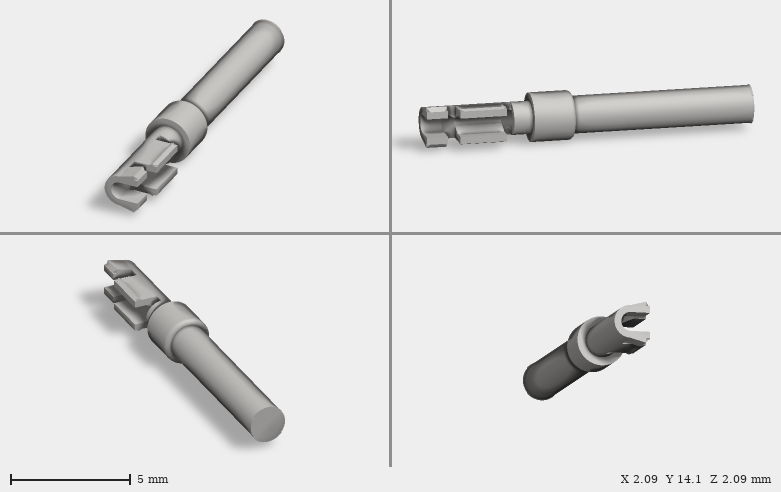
import cadquery as cq
import math

total_length = 14.1
front_tab_end = 0.9
rear_tab_start = 1.4
rear_tab_end = 3.4
slot_end = 3.79
collar_start = 4.6
collar_end = 6.4
hood_start = 8.6

barrel_radius = 1.4 / 2
bore_radius = 0.8 / 2
collar_radius = 2.09 / 2
hood_radius = 1.6 / 2
collar_rounding = 0.2
spigot_radius = barrel_radius
corner_web_size = 0.15

front_tab_reach = 0.85
rear_tab_reach = collar_radius
front_lip_angle = 15.0
front_lip_peak = 0.66
front_lip_tip = 0.83
rear_lip_angle = 24.0
rear_lip_peak = 0.85
rear_lip_tip = 1.02
sheet_thickness = 0.2
tip_inset = 0.14
grip_radius = 0.15

flare_length = 0.08
flare_height = 0.03
flare_half_width = 0.62

block_size = 2 * total_length


def revolve(profile):
    """Turn an outline of (radius, y) points about the Y axis."""
    return cq.Workplane("XY").polyline(profile).close().revolve(360, (0, 0, 0), (0, 1, 0))


def cylinder(radius, start, end):
    return revolve([(0, start), (radius, start), (radius, end), (0, end)])


def extrude_along_y(outline, start, end):
    """Extrude an outline of (x, z) points from one Y station to another."""
    return cq.Workplane("XZ", origin=(0, start, 0)).polyline(outline).close().extrude(start - end)


def x_side_block(direction, start, end):
    """A block on the -X (direction -1) or +X (direction 1) side of the YZ plane."""
    return cq.Workplane("XY").box(block_size, end - start, block_size).translate(
        (direction * block_size / 2, (start + end) / 2, 0)
    )


def lip(outline, peak, tip, start, end):
    """A bent lip whose end narrows from its peak to its tip."""
    plan = [
        (0, start),
        (peak, start),
        (tip, start + tip_inset),
        (tip, end - tip_inset),
        (peak, end),
        (0, end),
    ]
    narrowing = cq.Workplane("XY").polyline(plan).close().extrude(2 * collar_radius)
    return extrude_along_y(outline, start, end).intersect(narrowing)


def straight_tab(reach, start, end):
    outline = [(0, bore_radius), (reach, bore_radius), (reach, barrel_radius), (0, barrel_radius)]
    return extrude_along_y(outline, start, end)


def front_tab():
    """Upper tab at the open end, with a lip that rises from the barrel."""
    peak_height = barrel_radius + front_lip_peak * math.tan(math.radians(front_lip_angle))
    outline = [(0, barrel_radius), (front_lip_peak, peak_height), (front_lip_tip, barrel_radius)]
    tab = straight_tab(front_tab_reach, 0, front_tab_end)
    return tab.union(lip(outline, front_lip_peak, front_lip_tip, 0, front_tab_end))


def rear_tab():
    """Upper tab with a V-shaped inner grip and a small lip where the bent sheet breaks out."""
    slope = math.tan(math.radians(rear_lip_angle))
    grip_height = grip_radius / math.cos(math.radians(rear_lip_angle))
    sheet_height = sheet_thickness / math.cos(math.radians(rear_lip_angle))
    grip_outline = [
        (0, grip_height),
        ((bore_radius - grip_height) / slope, bore_radius),
        (0, bore_radius),
    ]
    breakout = (barrel_radius - grip_height - sheet_height) / slope
    lip_outline = [
        (breakout, barrel_radius),
        (rear_lip_peak, grip_height + sheet_height + rear_lip_peak * slope),
        (rear_lip_tip, barrel_radius),
    ]
    tab = straight_tab(rear_tab_reach, rear_tab_start, rear_tab_end)
    tab = tab.union(extrude_along_y(grip_outline, rear_tab_start, rear_tab_end))
    return tab.union(lip(lip_outline, rear_lip_peak, rear_lip_tip, rear_tab_start, rear_tab_end))


def grip_floor():
    """Half ring that narrows the barrel between the rear tabs, with a conical lead-in."""
    ring = revolve(
        [
            (bore_radius, front_tab_end),
            (grip_radius, rear_tab_start),
            (grip_radius, rear_tab_end),
            (bore_radius, rear_tab_end),
        ]
    )
    return ring.intersect(x_side_block(-1, front_tab_end, rear_tab_end))


def corner_web():
    """Small pyramid that braces the upper corner where the slot ends, widest at the bore."""
    foot = cq.Vector(0, slot_end, bore_radius)
    along_end = foot + cq.Vector(corner_web_size, 0, 0)
    along_edge = foot - cq.Vector(0, corner_web_size, 0)
    apex = cq.Vector(0, slot_end, barrel_radius)
    sides = [
        (foot, along_end, along_edge),
        (foot, along_edge, apex),
        (foot, apex, along_end),
        (along_end, apex, along_edge),
    ]
    faces = [cq.Face.makeFromWires(cq.Wire.makePolygon(side, close=True)) for side in sides]
    return cq.Workplane(cq.Solid.makeSolid(cq.Shell.makeShell(faces)))


def make_contact():
    collar = cylinder(collar_radius, collar_start, collar_end).edges(">Y").fillet(collar_rounding)
    barrel = cylinder(barrel_radius, 0, total_length)
    shank = cylinder(hood_radius, collar_start, hood_start)
    contact = barrel.union(shank).union(collar)
    contact = contact.cut(cylinder(bore_radius, 0, collar_start)).cut(x_side_block(1, 0, slot_end))
    contact = contact.union(grip_floor())
    for detail in (front_tab(), rear_tab(), corner_web()):
        contact = contact.union(detail).union(detail.mirror("XY"))
    return contact


def make_hood():
    flare = revolve(
        [
            (0, total_length - flare_length),
            (hood_radius, total_length - flare_length),
            (hood_radius + flare_height, total_length),
            (0, total_length),
        ]
    )
    flare_window = cq.Workplane("XY").box(2 * flare_half_width, block_size, block_size)
    hood = cylinder(hood_radius, hood_start, total_length).union(flare.intersect(flare_window))
    return hood.cut(cylinder(spigot_radius, hood_start, total_length))


contact = make_contact()
hood = make_hood()
result = cq.Compound.makeCompound([contact.val(), hood.val()])